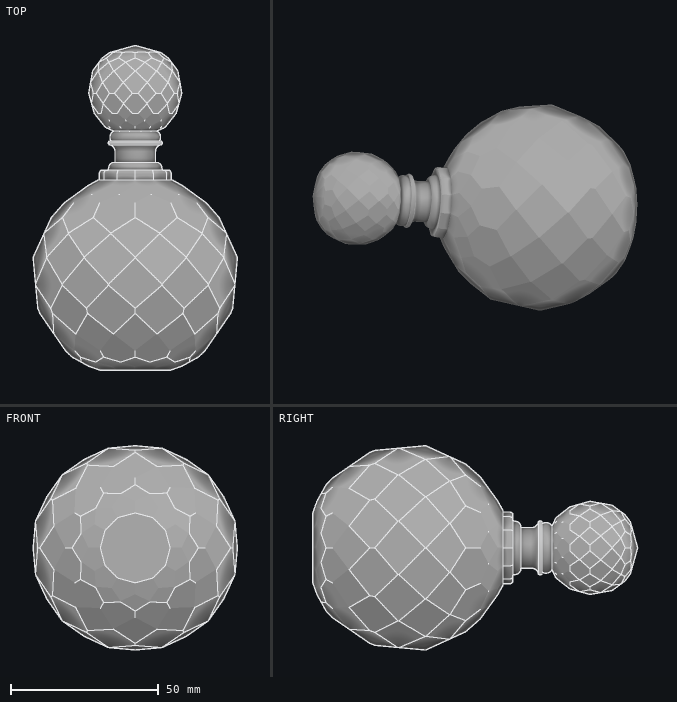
import cadquery as cq
import math

SIDES = 12
SIDE_ANGLE = 360.0 / SIDES
OVERALL_LENGTH = 109.9

BELLY_CENTRE = 31.9
COLLAR_START = 64.4
COLLAR_END = 67.7
COLLAR_CORNER_RADIUS = 12.2
COLLAR_FILLET = 1.6
COLLAR_TRIM = 0.3
MOUTH_RADIUS = 9.2
MOUTH_END = 70.3
MOUTH_SHOULDER_RADIUS = 9.0
MOUTH_SHOULDER = 68.7
MOUTH_ROUNDING = (8.6, 69.7)
MOUTH_END_RADIUS = 7.6

BELLY_RINGS = [
    (-69.8, 33.9),
    (-61.1, 34.3),
    (-45.1, 34.0),
    (-34.5, 33.7),
    (-21.3, 33.6),
    (-5.3, 33.9),
    (9.8, 34.0),
    (24.6, 34.1),
    (40.3, 33.7),
    (54.1, 34.2),
    (60.6, 34.3),
]

NECK_RADIUS = 6.9
FLARE_RADIUS = 2.2
FLARE_START = 74.1
RIM_EDGE_RADIUS = 8.9
RIM_RADIUS = 9.2
RIM_BEVEL = 0.7
BEAD_RADIUS = 8.6
BEAD_RIM_RADIUS = 8.2
BEAD_BALL_RADIUS = 7.5
BEAD_MIDDLE = 79.3
BEAD_END = 80.9
BALL_CENTRE = 94.0

BALL_RINGS = [
    (-66.0, 15.0),
    (-50.1, 15.3),
    (-38.3, 15.3),
    (-27.1, 15.4),
    (-15.6, 15.3),
    (-2.6, 15.5),
    (10.0, 15.5),
    (23.5, 15.7),
    (36.4, 15.9),
    (52.7, 15.8),
]
POINT_TILT = 74.3


def across_corners(inner_radius):
    """Corner radius of a twelve-sided polygon from the radius that touches its sides."""
    return inner_radius / math.cos(math.radians(SIDE_ANGLE / 2))


def polygon_points(corner_radius, y, first_corner):
    """Corners of a twelve-sided polygon around the Y axis; angles are measured from +Z."""
    angles = [math.radians(first_corner + SIDE_ANGLE * i) for i in range(SIDES)]
    return [cq.Vector(corner_radius * math.sin(a), y, corner_radius * math.cos(a)) for a in angles]


def facet_pyramid(tilt, distance, centre, reach, first_corner):
    """Pyramid whose sides are one ring of facets; its base lies `reach` beyond the centre."""
    direction = math.copysign(1, tilt)
    apex_height = distance / math.sin(math.radians(abs(tilt)))
    inner_radius = (apex_height + reach) * math.tan(math.radians(abs(tilt)))
    corners = polygon_points(across_corners(inner_radius), centre - direction * reach, first_corner)
    apex = cq.Vector(0, centre + direction * apex_height, 0)
    faces = [cq.Face.makeFromWires(cq.Wire.makePolygon(corners, close=True))]
    for i in range(SIDES):
        side = [corners[i - 1], corners[i], apex]
        faces.append(cq.Face.makeFromWires(cq.Wire.makePolygon(side, close=True)))
    return cq.Workplane(cq.Solid.makeSolid(cq.Shell.makeShell(faces)).fix())


def faceted_ball(rings, centre, reach, first_turn):
    """Common part of all facet rings; every second ring is turned by half a facet.

    The corners of the first ring start at +Z when `first_turn` is 0, half a facet away when it is 1.
    """
    ball = None
    for i, (tilt, distance) in enumerate(rings):
        first_corner = ((i + first_turn) % 2) * SIDE_ANGLE / 2
        pyramid = facet_pyramid(tilt, distance, centre, reach, first_corner)
        ball = pyramid if ball is None else ball.intersect(pyramid)
    return ball


def disc(radius, start, end):
    """Cylinder on the Y axis between two heights."""
    base = cq.Vector(0, start, 0)
    return cq.Workplane(cq.Solid.makeCylinder(radius, end - start, base, cq.Vector(0, 1, 0)))


def turned(profile):
    """Full turn of a closed outline in the XY plane around the Y axis."""
    return profile.revolve(360, (0, 0, 0), (0, 1, 0))


def make_belly():
    size_limit = disc(2 * BELLY_CENTRE, 0, COLLAR_START)
    return faceted_ball(BELLY_RINGS, BELLY_CENTRE, 2 * BELLY_CENTRE, 0).intersect(size_limit)


def make_collar():
    outline = polygon_points(COLLAR_CORNER_RADIUS, COLLAR_START, 0)
    length = COLLAR_END + COLLAR_TRIM - COLLAR_START
    wire = cq.Wire.makePolygon(outline, close=True)
    collar = cq.Workplane(cq.Solid.extrudeLinear(wire, [], cq.Vector(0, length, 0)))
    collar = collar.faces(">Y").edges().fillet(COLLAR_FILLET)
    return collar.intersect(disc(2 * COLLAR_CORNER_RADIUS, COLLAR_START, COLLAR_END))


def make_mouth():
    profile = (
        cq.Workplane("XY")
        .moveTo(0, COLLAR_END)
        .lineTo(MOUTH_RADIUS, COLLAR_END)
        .lineTo(MOUTH_SHOULDER_RADIUS, MOUTH_SHOULDER)
        .threePointArc(MOUTH_ROUNDING, (MOUTH_END_RADIUS, MOUTH_END))
        .lineTo(0, MOUTH_END)
        .close()
    )
    return turned(profile)


def make_bottle():
    return make_belly().union(make_collar()).union(make_mouth())


def make_stopper_neck():
    """Neck, flared rim and bead, turned around the Y axis and carried into the ball."""
    flare_angle = math.acos(1 - (RIM_EDGE_RADIUS - NECK_RADIUS) / FLARE_RADIUS)
    flare_middle = (
        NECK_RADIUS + FLARE_RADIUS * (1 - math.cos(flare_angle / 2)),
        FLARE_START + FLARE_RADIUS * math.sin(flare_angle / 2),
    )
    rim_start = FLARE_START + FLARE_RADIUS * math.sin(flare_angle)
    rim_middle = rim_start + RIM_BEVEL
    rim_end = rim_middle + RIM_BEVEL
    profile = (
        cq.Workplane("XY")
        .moveTo(0, MOUTH_END)
        .lineTo(NECK_RADIUS, MOUTH_END)
        .lineTo(NECK_RADIUS, FLARE_START)
        .threePointArc(flare_middle, (RIM_EDGE_RADIUS, rim_start))
        .lineTo(RIM_RADIUS, rim_middle)
        .lineTo(RIM_EDGE_RADIUS, rim_end)
        .lineTo(BEAD_RIM_RADIUS, rim_end)
        .threePointArc((BEAD_RADIUS, BEAD_MIDDLE), (BEAD_BALL_RADIUS, BEAD_END))
        .lineTo(0, BALL_CENTRE)
        .close()
    )
    return turned(profile)


def make_stopper():
    point_height = OVERALL_LENGTH - BALL_CENTRE
    point_ring = (POINT_TILT, point_height * math.sin(math.radians(POINT_TILT)))
    ball = faceted_ball(BALL_RINGS + [point_ring], BALL_CENTRE, point_height, 1)
    return ball.union(make_stopper_neck())


bottle = make_bottle()
stopper = make_stopper()

result = cq.Compound.makeCompound([bottle.val(), stopper.val()])